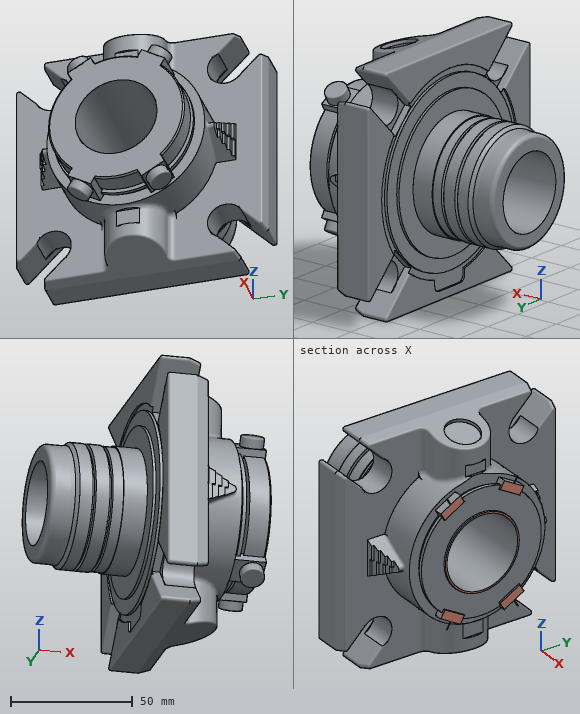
import cadquery as cq
import math

total_length = 92.0
bore_d = 35.0

nose_d = 49.1
nose_round = 1.6
nose_round_length = 2.4
nose_end_x = 8.0
neck_end_x = 9.9
neck_end_d = 49.7
barb_start_x = 11.4
barb_d = 52.5
groove_d = 49.8
first_groove_x = 17.0
first_groove_width = 1.4
second_groove_x = 24.2
second_groove_width = 1.4
groove_slope = 0.4
shoulder_d = 51.8
spigot_d = 52.8
spigot_x = 30.0

raised_disc_d = 71.5
raised_disc_x = 39.9
disc_d = 84.4
disc_x = 41.1

plate_size = 108.0
plate_x = 41.6
plate_taper_x = 53.9
plate_back_x = 58.9
side_taper = 15.0
edge_round = 0.9
tip_round = 1.2
recess_d = 90.4
recess_depth = 0.9
notch_width = 19.9
notch_bottom = 49.7
notch_corner = 3.0

slot_width = 14.6
slot_hole_d = 15.5
slot_hole_radius = 52.2
slot_step_depth = 4.1
corner_angles = [45, 135, 225, 315]

body_d = 67.6
body_end_x = 78.2
body_fillet = 2.7

lug_radius = 13.0
top_lug_x = 65.1
bottom_lug_x = 63.2
lug_flare = 2.9
lug_relief = 1.0
top_relief_z = 40.0
bottom_relief_z = 42.0
lug_root_fillet = 2.2
eye_d = 15.5
eye_x = 67.9
eye_depth = 1.6

pointer_half_width = 8.5
pointer_tip_x = 75.5
pointer_tip_round = 1.5
pointer_root_fillet = 1.1
pointer_steps = 5
step_length = 3.0
first_step_x = 62.2
first_step_y = 41.5
step_drop = 1.2
step_shift = 1.4

clamp_d = 58.2
seal_d = 59.7
seal_x = 79.6
clamp_gap_x = 81.2
clamp_gap_end_x = 82.7
clamp_chamfer = 0.6
core_d = 37.0
screw_angles = [60, 120, 240, 300]
screw_x = 86.9
screw_head_d = 9.9
screw_head_top = 36.1
screw_head_edge = 0.5
block_width = 11.4
block_top = 31.7
block_bottom = 27.4


def ring(diameter, start_x, end_x):
    """Solid disc on the X axis."""
    return cq.Workplane("YZ", origin=(start_x, 0, 0)).circle(diameter / 2).extrude(end_x - start_x)


def spigot():
    """Round hose tail with a rounded nose and two grooves, turned about X."""
    nose_r = nose_d / 2
    barb_r = barb_d / 2
    groove_r = groove_d / 2
    arc_mid = (nose_round_length * 0.3, nose_r - nose_round * 0.3)
    profile = (
        cq.Workplane("XY")
        .lineTo(0, nose_r - nose_round)
        .threePointArc(arc_mid, (nose_round_length, nose_r))
        .lineTo(nose_end_x, nose_r)
        .lineTo(neck_end_x, neck_end_d / 2)
        .lineTo(barb_start_x, barb_r)
    )
    for groove_x, width, rim_d in (
        (first_groove_x, first_groove_width, barb_d),
        (second_groove_x, second_groove_width, shoulder_d),
    ):
        profile = (
            profile.lineTo(groove_x, barb_r)
            .lineTo(groove_x, groove_r)
            .lineTo(groove_x + width - groove_slope, groove_r)
            .lineTo(groove_x + width, rim_d / 2)
        )
    return (
        profile.lineTo(spigot_x, shoulder_d / 2)
        .lineTo(spigot_x, spigot_d / 2)
        .lineTo(plate_x, spigot_d / 2)
        .lineTo(plate_x, 0)
        .close()
        .revolve(360, (0, 0, 0), (1, 0, 0))
    )


def tapered_block(end_x):
    """Square block from the plate front, its sides leaning in behind the taper line."""
    front = cq.Workplane("YZ", origin=(plate_x, 0, 0)).rect(plate_size, plate_size)
    rear = cq.Workplane("YZ", origin=(plate_taper_x, 0, 0)).rect(plate_size, plate_size)
    return front.extrude(plate_taper_x - plate_x).union(
        rear.extrude(end_x - plate_taper_x, taper=side_taper)
    )


def corner_slot(angle):
    """Straight open slot on one diagonal, running on in front as a shallow step down to the disc."""
    front = cq.Workplane("YZ", origin=(plate_x, 0, 0))
    solid = None
    for start, depth in ((slot_hole_radius, plate_back_x - plate_x), (disc_d / 2, slot_step_depth)):
        channel = front.center((start + plate_size) / 2, 0).rect(plate_size - start, slot_width).extrude(depth)
        solid = channel if solid is None else solid.union(channel)
    return solid.rotate((0, 0, 0), (1, 0, 0), angle)


def slot_hole(angle):
    """Round inner end of a slot, behind its front step."""
    hole = (
        cq.Workplane("YZ", origin=(plate_x + slot_step_depth, 0, 0))
        .center(slot_hole_radius, 0)
        .circle(slot_hole_d / 2)
        .extrude(plate_back_x - plate_x - slot_step_depth)
    )
    return hole.rotate((0, 0, 0), (1, 0, 0), angle)


def plate():
    """Square plate with four corner slots and a ring recess in its front face."""
    solid = tapered_block(plate_back_x)
    for angle in corner_angles:
        solid = solid.cut(corner_slot(angle))
    inner = (disc_d / 2 + 1.1) / math.sqrt(2)
    inner_zone = cq.selectors.BoxSelector((plate_x - 1.1, -inner, -inner), (plate_back_x, inner, inner))
    outer_edges = cq.selectors.InverseSelector(inner_zone)
    outer = plate_size * 0.4
    tip_zone = cq.selectors.BoxSelector((plate_x - 1.1, -outer, -outer), (plate_back_x, outer, outer))
    tip_edges = cq.selectors.InverseSelector(tip_zone)
    solid = solid.edges("not #X").edges(tip_edges).fillet(tip_round)
    solid = solid.faces("<X").edges(outer_edges).fillet(edge_round)
    solid = solid.faces(">X").edges("|Y or |Z").fillet(edge_round)
    for angle in corner_angles:
        solid = solid.cut(slot_hole(angle))
    recess = ring(recess_d, plate_x, plate_x + recess_depth)
    notch = (
        cq.Workplane("YZ", origin=(plate_x, 0, -notch_bottom / 2))
        .rect(notch_width, notch_bottom)
        .extrude(recess_depth)
        .edges("|X and <Z")
        .fillet(notch_corner)
    )
    return solid.cut(recess).cut(notch)


def root_flare():
    """Concave flare, turned about X, where the round body leaves the plate."""
    body_r = body_d / 2
    bend = body_fillet * (1 - math.sqrt(0.5))
    return (
        cq.Workplane("XY", origin=(plate_back_x, 0, 0))
        .lineTo(0, body_r + body_fillet)
        .threePointArc((bend, body_r + bend), (body_fillet, body_r))
        .lineTo(body_fillet, 0)
        .close()
        .revolve(360, (0, 0, 0), (1, 0, 0))
    )


def lug(centre_x, relief_z):
    """Round-ended lug, flared where it leaves the plate, and the relief to cut from its tip."""
    flare_y = lug_radius + lug_flare
    flare_x = plate_back_x + lug_flare
    bend = lug_flare * (1 - math.sqrt(0.5))
    tip_x = centre_x + lug_radius
    outline = (
        cq.Workplane("XY")
        .moveTo(plate_taper_x, -flare_y)
        .lineTo(plate_back_x, -flare_y)
        .threePointArc((plate_back_x + bend, -lug_radius - bend), (flare_x, -lug_radius))
        .lineTo(centre_x, -lug_radius)
        .threePointArc((tip_x, 0), (centre_x, lug_radius))
        .lineTo(flare_x, lug_radius)
        .threePointArc((plate_back_x + bend, lug_radius + bend), (plate_back_x, flare_y))
        .lineTo(plate_taper_x, flare_y)
        .close()
    )
    solid = outline.extrude(plate_size / 2).intersect(tapered_block(total_length))
    top_edges = cq.selectors.BoxSelector(
        (plate_back_x + edge_round, -flare_y, relief_z), (total_length, flare_y, plate_size)
    )
    solid = solid.edges(top_edges).edges("not |Z").fillet(edge_round)
    relief_bottom = body_d / 2 + lug_root_fillet / 2
    relief = cq.Workplane("XY").box(
        2 * lug_relief, 2 * lug_radius, relief_z - relief_bottom, centered=(True, True, False)
    )
    return solid, relief.translate((tip_x, 0, relief_bottom))


def eye():
    """Shallow round pocket square to the sloping top of the upper lug."""
    top_z = plate_size / 2 - (eye_x - plate_taper_x) * math.tan(math.radians(side_taper))
    pocket = cq.Workplane("XY").circle(eye_d / 2).extrude(2 * eye_depth).translate((0, 0, -eye_depth))
    return pocket.rotate((0, 0, 0), (0, 1, 0), side_taper).translate((eye_x, 0, top_z))


def pointer():
    """Full-height triangular prism on the -Y side and the part of it cut away above its steps."""
    arrow = (
        cq.Workplane("XZ")
        .moveTo(plate_taper_x, -pointer_half_width)
        .lineTo(plate_back_x, -pointer_half_width)
        .lineTo(pointer_tip_x + pointer_tip_round, 0)
        .lineTo(plate_back_x, pointer_half_width)
        .lineTo(plate_taper_x, pointer_half_width)
        .close()
        .extrude(plate_size / 2)
        .edges("|Y and >X")
        .fillet(pointer_tip_round)
    )
    stairs = None
    for half, shift in ((1, 0), (-1, -step_shift)):
        for step in range(pointer_steps):
            end_x = first_step_x + step * step_length + shift
            if step == pointer_steps - 1:
                end_x = total_length
            height = first_step_y - step * step_drop
            tread = cq.Workplane("XY").box(
                end_x - plate_taper_x, height, pointer_half_width, centered=(False, False, False)
            )
            tread = tread.translate((plate_taper_x, -height, min(half, 0) * pointer_half_width))
            stairs = tread if stairs is None else stairs.union(tread)
    return arrow, arrow.cut(stairs)


def screw_block(angle):
    """Flat block bridging the clamp gap, carrying one radial screw head."""
    length = total_length - body_end_x
    block = (
        cq.Workplane("XY")
        .box(length, block_width, block_top - block_bottom, centered=(False, True, False))
        .translate((body_end_x, 0, block_bottom))
    )
    head = (
        cq.Workplane("XY", origin=(screw_x, 0, block_bottom))
        .circle(screw_head_d / 2)
        .extrude(screw_head_top - block_bottom)
        .faces(">Z")
        .edges()
        .fillet(screw_head_edge)
    )
    return block.union(head).rotate((0, 0, 0), (1, 0, 0), angle - 90)


def clamp():
    """Two clamp rings on a thin core, joined by the screw blocks."""
    solid = (
        ring(core_d, body_end_x, total_length)
        .union(ring(clamp_d, body_end_x, clamp_gap_x))
        .union(ring(seal_d, seal_x, clamp_gap_x))
        .union(ring(clamp_d, clamp_gap_end_x, total_length).faces(">X").chamfer(clamp_chamfer))
    )
    for angle in screw_angles:
        solid = solid.union(screw_block(angle))
    return solid


def housing():
    """Body with its lugs and pointers, all blended into the round surface."""
    body_r = body_d / 2
    overrun_x = body_end_x + 2 * lug_root_fillet
    solid = ring(body_d, plate_taper_x, overrun_x)
    lug_root = cq.selectors.BoxSelector(
        (plate_taper_x + edge_round, -lug_radius - 1.1, body_r - 4.3), (overrun_x, lug_radius + 1.1, body_r)
    )
    for turn, centre_x, relief_z in ((0, top_lug_x, top_relief_z), (180, bottom_lug_x, bottom_relief_z)):
        lug_solid, relief = lug(centre_x, relief_z)
        solid = solid.rotate((0, 0, 0), (1, 0, 0), -turn).union(lug_solid)
        solid = solid.edges(lug_root).fillet(lug_root_fillet).cut(relief)
        solid = solid.rotate((0, 0, 0), (1, 0, 0), turn)
    arrow, above_steps = pointer()
    pointer_root = cq.selectors.BoxSelector(
        (plate_taper_x + edge_round, -body_r - 1.1, -pointer_half_width),
        (overrun_x, -body_r + 2.2, pointer_half_width),
    )
    solid = solid.union(arrow).edges(pointer_root).fillet(pointer_root_fillet).cut(above_steps)
    near_half = cq.Workplane("XY").box(
        body_end_x, plate_size, 2 * plate_size, centered=(False, False, True)
    )
    solid = solid.intersect(near_half.translate((0, -plate_size, 0)))
    return solid.union(solid.mirror("XZ"))


result = (
    plate()
    .union(housing())
    .union(root_flare())
    .cut(eye())
    .union(ring(disc_d, disc_x, plate_taper_x))
    .union(ring(raised_disc_d, raised_disc_x, plate_taper_x))
    .union(spigot())
    .union(clamp())
    .cut(ring(bore_d, 0, total_length))
)